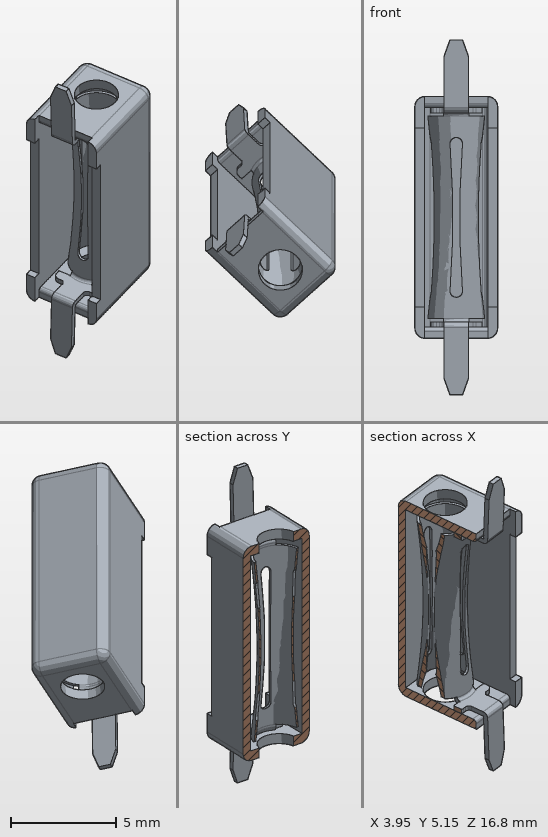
import cadquery as cq
import math


HOUSING_WIDTH = 3.95
HOUSING_HEIGHT = 11.5
HOUSING_BACK = 2.0
HOUSING_DEPTH = 5.09
HOUSING_FRONT = HOUSING_BACK - HOUSING_DEPTH
SIDE_WALL = 0.47
BACK_WALL = 0.47
END_WALL = 0.54
OUTER_FILLET = 0.5
INNER_FILLET = 0.25
FRONT_RECESS = 0.35
FOOT_START = 4.25
END_EDGE_FILLET = 0.2
PORT_RADIUS = 1.05

BARREL_WALL = 0.13
WAIST_RADIUS = 1.08
WAIST_HALF = 1.15
FLARE_MIDDLE_RADIUS = 1.21
FLARE_MIDDLE = 3.45
RIM_RADIUS = 1.35
RIM = 4.8
SLOT_END = 3.79
SLOT_WAIST_WIDTH = 0.35
SLOT_END_WIDTH = 0.59
SLOT_COUNT = 4

SHEET = 0.25
PLATE_TOP = HOUSING_HEIGHT / 2 - END_WALL
PLATE_BOTTOM = PLATE_TOP - SHEET
NECK_HALF_WIDTH = 0.6
NECK_BEND = PLATE_BOTTOM - RIM
NECK_RADIUS = RIM_RADIUS + NECK_BEND
PLATE_HALF_WIDTH = 1.23
PLATE_REAR = -1.36
SHOULDER = -1.87
SHOULDER_ROUND = 0.29
NOTCH_FILLET = 0.2
TAB_HALF_WIDTH = 0.59
TAB_TIP_HALF_WIDTH = 0.3
TAB_TAPER = 0.8
TAB_END = 8.42
TAB_TIP_FRONT = -3.15
TAB_LEAN = 2.0
BEND_INNER = 0.02
BEND_OUTER = BEND_INNER + SHEET


def make_housing():
    box_middle = HOUSING_BACK - HOUSING_DEPTH / 2
    shell = (
        cq.Workplane("XY")
        .box(HOUSING_WIDTH, HOUSING_DEPTH, HOUSING_HEIGHT)
        .translate((0, box_middle, 0))
        .edges("|Y or >Y")
        .fillet(OUTER_FILLET)
    )

    cavity_width = HOUSING_WIDTH - 2 * SIDE_WALL
    cavity_height = HOUSING_HEIGHT - 2 * END_WALL
    cavity = (
        cq.Workplane("XY")
        .box(cavity_width, HOUSING_DEPTH, cavity_height)
        .translate((0, box_middle - BACK_WALL, 0))
        .edges("|Z and >Y")
        .fillet(INNER_FILLET)
    )

    side_recess = cq.Workplane("XY").box(HOUSING_WIDTH, 2 * FRONT_RECESS, 2 * FOOT_START)
    end_recess = cq.Workplane("XY").box(cavity_width, 2 * FRONT_RECESS, HOUSING_HEIGHT)
    recesses = side_recess.union(end_recess).translate((0, HOUSING_FRONT, 0))

    port = cq.Workplane("XY").circle(PORT_RADIUS).extrude(HOUSING_HEIGHT / 2, both=True)
    housing = shell.cut(cavity).cut(recesses).cut(port)
    return round_end_wall_edges(housing, cavity_width, cavity_height)


def round_end_wall_edges(housing, width, height):
    """Round the front inner edge of both end walls."""
    edge_y = HOUSING_FRONT + FRONT_RECESS
    for side in (1, -1):
        edge = cq.selectors.NearestToPointSelector((0, edge_y, side * height / 2))
        housing = housing.edges("|X").edges(edge).fillet(END_EDGE_FILLET)
    return housing


def make_barrel():
    def flared_rod(reduction):
        """Solid of revolution of the barrel outline, inset by a wall thickness."""
        waist = WAIST_RADIUS - reduction
        middle = FLARE_MIDDLE_RADIUS - reduction
        rim = RIM_RADIUS - reduction
        return (
            cq.Workplane("XZ")
            .moveTo(0, -RIM)
            .lineTo(rim, -RIM)
            .spline(
                [
                    (middle, -FLARE_MIDDLE),
                    (waist, -WAIST_HALF),
                    (waist, WAIST_HALF),
                    (middle, FLARE_MIDDLE),
                    (rim, RIM),
                ],
                includeCurrent=True,
            )
            .lineTo(0, RIM)
            .close()
            .revolve(360, (0, 0, 0), (0, 1, 0))
        )

    barrel = flared_rod(0).cut(flared_rod(BARREL_WALL))
    for i in range(SLOT_COUNT):
        barrel = barrel.cut(make_slot().rotate((0, 0, 0), (0, 0, 1), i * 360 / SLOT_COUNT))
    return barrel


def make_slot():
    """Cutter toward -Y, narrow at the waist and wider toward its round ends."""
    narrow = SLOT_WAIST_WIDTH / 2
    wide = SLOT_END_WIDTH / 2
    round_start = SLOT_END - wide
    return (
        cq.Workplane("XZ")
        .moveTo(narrow, -WAIST_HALF)
        .lineTo(narrow, WAIST_HALF)
        .lineTo(wide, round_start)
        .threePointArc((0, SLOT_END), (-wide, round_start))
        .lineTo(-narrow, WAIST_HALF)
        .lineTo(-narrow, -WAIST_HALF)
        .lineTo(-wide, -round_start)
        .threePointArc((0, -SLOT_END), (wide, -round_start))
        .close()
        .extrude(2 * RIM_RADIUS)
    )


def make_neck():
    """Strip of the barrel rim that curves outward into the plate."""
    inner = RIM_RADIUS - BARREL_WALL
    back_round = NECK_RADIUS - inner
    slant = math.sqrt(0.5)
    collar = (
        cq.Workplane("XZ")
        .moveTo(inner, RIM)
        .lineTo(RIM_RADIUS, RIM)
        .threePointArc(
            (NECK_RADIUS - NECK_BEND * slant, RIM + NECK_BEND * slant),
            (NECK_RADIUS, PLATE_BOTTOM),
        )
        .lineTo(NECK_RADIUS, PLATE_TOP)
        .threePointArc(
            (NECK_RADIUS - back_round * slant, PLATE_TOP - back_round * (1 - slant)),
            (inner, PLATE_TOP - back_round),
        )
        .close()
        .revolve(360, (0, 0, 0), (0, 1, 0))
    )
    front_strip = (
        cq.Workplane("XY")
        .box(2 * NECK_HALF_WIDTH, 2 * NECK_RADIUS, 2 * HOUSING_HEIGHT)
        .translate((0, -NECK_RADIUS, 0))
    )
    return collar.intersect(front_strip)


def make_plate_and_tab():
    """Plate against the end wall, bent round into the leaning solder tab."""
    lean = math.radians(TAB_LEAN)
    along_y, along_z = -math.sin(lean), math.cos(lean)
    front_y, front_z = -math.cos(lean), -math.sin(lean)

    bend_z = PLATE_TOP + BEND_INNER
    start_z = bend_z + BEND_OUTER * front_z
    tab_length = (TAB_END - start_z) / along_z
    start_y = TAB_TIP_FRONT - tab_length * along_y
    bend_y = start_y - BEND_OUTER * front_y

    def on_bend(radius, degrees):
        """Point on the bend, turned from its plate end toward the tab."""
        turn = math.radians(degrees)
        return (bend_y - radius * math.sin(turn), bend_z - radius * math.cos(turn))

    bend_angle = 90 - TAB_LEAN
    inner_end_y, inner_end_z = on_bend(BEND_INNER, bend_angle)
    tip_y = inner_end_y + tab_length * along_y
    tip_z = inner_end_z + tab_length * along_z
    sheet = (
        cq.Workplane("YZ")
        .moveTo(PLATE_REAR, PLATE_BOTTOM)
        .lineTo(bend_y, PLATE_BOTTOM)
        .threePointArc(on_bend(BEND_OUTER, bend_angle / 2), on_bend(BEND_OUTER, bend_angle))
        .lineTo(TAB_TIP_FRONT, TAB_END)
        .lineTo(tip_y, tip_z)
        .lineTo(inner_end_y, inner_end_z)
        .threePointArc(on_bend(BEND_INNER, bend_angle / 2), on_bend(BEND_INNER, 0))
        .lineTo(PLATE_REAR, PLATE_TOP)
        .close()
        .extrude(PLATE_HALF_WIDTH, both=True)
    )
    hollow = cq.Workplane("XY").circle(NECK_RADIUS).extrude(HOUSING_HEIGHT)
    return sheet.intersect(plate_outline()).intersect(tab_outline()).cut(hollow)


def plate_outline():
    """Prism along Z: wide plate with round shoulders that narrows to the tab."""
    reach = 2 * HOUSING_DEPTH
    outline = (
        cq.Workplane("XY")
        .moveTo(-PLATE_HALF_WIDTH, PLATE_REAR)
        .lineTo(-PLATE_HALF_WIDTH, SHOULDER)
        .lineTo(-TAB_HALF_WIDTH, SHOULDER)
        .lineTo(-TAB_HALF_WIDTH, -reach)
        .lineTo(TAB_HALF_WIDTH, -reach)
        .lineTo(TAB_HALF_WIDTH, SHOULDER)
        .lineTo(PLATE_HALF_WIDTH, SHOULDER)
        .lineTo(PLATE_HALF_WIDTH, PLATE_REAR)
        .close()
        .extrude(HOUSING_HEIGHT)
    )
    for side in (1, -1):
        for x, radius in ((PLATE_HALF_WIDTH, SHOULDER_ROUND), (TAB_HALF_WIDTH, NOTCH_FILLET)):
            point = (side * x, SHOULDER, HOUSING_HEIGHT / 2)
            nearest = cq.selectors.NearestToPointSelector(point)
            outline = outline.edges("|Z").edges(nearest).fillet(radius)
    return outline


def tab_outline():
    """Prism along Y: full width with a tapered tip."""
    return (
        cq.Workplane("XZ")
        .moveTo(-PLATE_HALF_WIDTH, 0)
        .lineTo(PLATE_HALF_WIDTH, 0)
        .lineTo(PLATE_HALF_WIDTH, PLATE_TOP)
        .lineTo(TAB_HALF_WIDTH, PLATE_TOP)
        .lineTo(TAB_HALF_WIDTH, TAB_END - TAB_TAPER)
        .lineTo(TAB_TIP_HALF_WIDTH, TAB_END)
        .lineTo(-TAB_TIP_HALF_WIDTH, TAB_END)
        .lineTo(-TAB_HALF_WIDTH, TAB_END - TAB_TAPER)
        .lineTo(-TAB_HALF_WIDTH, PLATE_TOP)
        .lineTo(-PLATE_HALF_WIDTH, PLATE_TOP)
        .close()
        .extrude(2 * HOUSING_DEPTH)
    )


def make_contact():
    upper_end = make_neck().union(make_plate_and_tab())
    lower_end = upper_end.mirror("XY")
    return make_barrel().union(upper_end).union(lower_end)


housing = make_housing().solids().val()
contact = make_contact().solids().val()

result = cq.Compound.makeCompound([housing, contact])